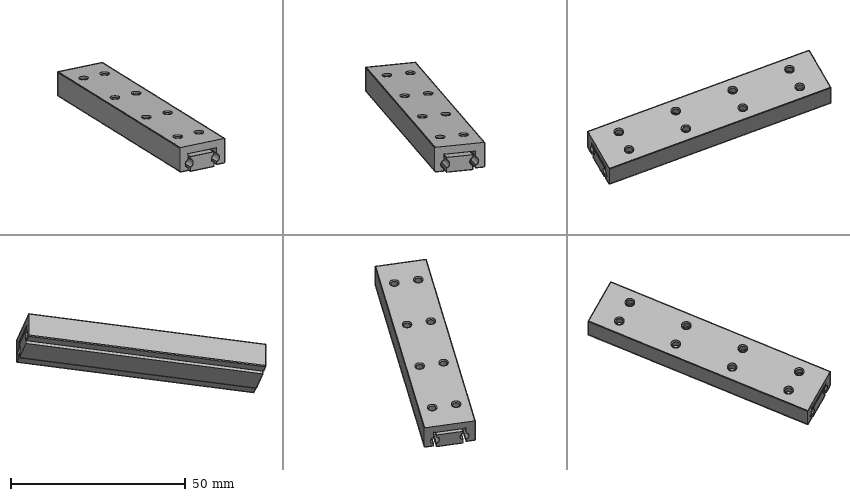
import cadquery as cq

LENGTH = 70.0
WIDTH = 15.0
HEIGHT = 8.0

HOUSING_BOTTOM = 0.4
ROOF_THICKNESS = 2.4
CHANNEL_TOP = HEIGHT - ROOF_THICKNESS
CHANNEL_WIDTH = 9.5
TOP_CHAMFER = 0.15
BOTTOM_CHAMFER = 0.3

RAIL_WIDTH = 7.85
RAIL_HEIGHT = 4.55

TRACK_DIAMETER = 2.6
TRACK_OFFSET = 4.35
TRACK_HEIGHT = 2.5

HOLE_DIAMETER = 2.0
HOLE_MOUTH_DIAMETER = 2.7
MOUTH_ANGLE = 45
HOLE_COLUMNS = 4
HOLE_ROWS = 2
HOLE_PITCH = 18.0
ROW_SPACING = 7.0


def bar(width, bottom, top):
    """Full-length bar centred on X and Y between two heights."""
    return (
        cq.Workplane("XY")
        .workplane(offset=bottom)
        .rect(LENGTH, width)
        .extrude(top - bottom)
    )


def ball_tracks():
    """Round full-length cutters, one on each side of the rail."""
    return (
        cq.Workplane("YZ")
        .workplane(offset=-LENGTH / 2)
        .pushPoints([(-TRACK_OFFSET, TRACK_HEIGHT), (TRACK_OFFSET, TRACK_HEIGHT)])
        .circle(TRACK_DIAMETER / 2)
        .extrude(LENGTH)
    )


def hole_pattern(height):
    """Mounting-hole centres on a horizontal plane at the given height."""
    return (
        cq.Workplane("XY")
        .workplane(offset=height)
        .rarray(HOLE_PITCH, ROW_SPACING, HOLE_COLUMNS, HOLE_ROWS)
    )


def mounting_holes():
    """Cutters for the through holes and their 45 degree mouths."""
    mouth_depth = (HOLE_MOUTH_DIAMETER - HOLE_DIAMETER) / 2
    bores = hole_pattern(CHANNEL_TOP).circle(HOLE_DIAMETER / 2).extrude(ROOF_THICKNESS)
    mouths = (
        hole_pattern(HEIGHT)
        .circle(HOLE_MOUTH_DIAMETER / 2)
        .extrude(-mouth_depth, taper=MOUTH_ANGLE)
    )
    return bores, mouths


def make_housing():
    body = bar(WIDTH, HOUSING_BOTTOM, HEIGHT)
    body = body.faces(">Z").edges("|X").chamfer(TOP_CHAMFER)
    body = body.faces("<Z").edges("|X").chamfer(BOTTOM_CHAMFER)
    channel = bar(CHANNEL_WIDTH, HOUSING_BOTTOM, CHANNEL_TOP)
    bores, mouths = mounting_holes()
    return body.cut(channel).cut(ball_tracks()).cut(bores).cut(mouths)


def make_rail():
    return bar(RAIL_WIDTH, 0, RAIL_HEIGHT).cut(ball_tracks())


housing = make_housing()
rail = make_rail()

result = cq.Compound.makeCompound([housing.val(), rail.val()])